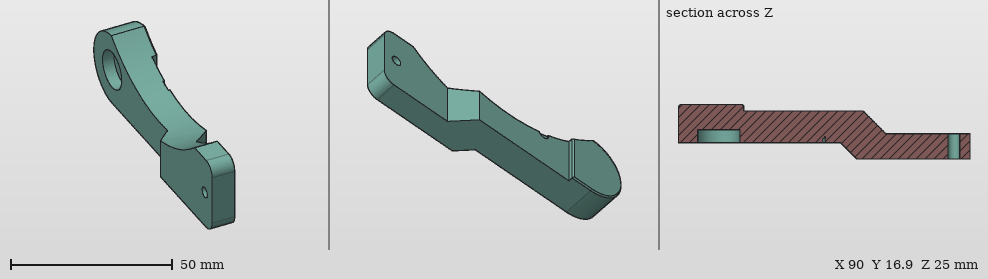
import cadquery as cq
import math

length = 90.0
height = 25.0
mid_height = height / 2

end_radius = height / 2
corner_radius = 4.0
scallop_radius = 50.0
scallop_center_x = length / 2
scallop_center_z = mid_height + scallop_radius

offset_step = 5.0
front_bend_end_x = 55.0
thin_back_y = 7.87
thick_back_y = 14.87
back_bend_start_x = 57.0

pad_height = 2.0
pad_width = 20.2
pad_chamfer = 0.5

socket_diameter = 13.0
socket_depth = 4.0
pin_hole_diameter = 3.5
pin_hole_x = 85.0

notch_x = 30.5
notch_radius = 1.9
notch_depth = 0.5

pad_back_y = thick_back_y + pad_height


def along_y(start_y):
    """Workplane in X and Z whose extrusions run toward +Y from start_y."""
    return cq.Workplane("XZ", origin=(0, start_y, 0))


def cylinder_along_y(x, z, radius, start_y, end_y):
    return along_y(start_y).center(x, z).circle(radius).extrude(start_y - end_y)


def make_outline(start_y, end_y):
    """Lever outline: round left end, filleted right corners, no scallop yet."""
    bar = (
        along_y(start_y)
        .moveTo(end_radius, 0)
        .lineTo(length, 0)
        .lineTo(length, height)
        .lineTo(end_radius, height)
        .threePointArc((0, mid_height), (end_radius, 0))
        .close()
        .extrude(start_y - end_y)
    )
    return bar.edges("|Y and >X").fillet(corner_radius)


def make_scallop():
    return cylinder_along_y(scallop_center_x, scallop_center_z, scallop_radius, 0, pad_back_y)


def make_jogged_slab():
    """Plate that steps toward -Y through 45 degree bends, full height in Z."""
    back_bend_end_x = back_bend_start_x + thick_back_y - thin_back_y
    return (
        cq.Workplane("XY")
        .moveTo(0, offset_step)
        .lineTo(front_bend_end_x - offset_step, offset_step)
        .lineTo(front_bend_end_x, 0)
        .lineTo(length, 0)
        .lineTo(length, thin_back_y)
        .lineTo(back_bend_end_x, thin_back_y)
        .lineTo(back_bend_start_x, thick_back_y)
        .lineTo(0, thick_back_y)
        .close()
        .extrude(height)
    )


def make_pad(profile):
    """Raised end of the lever, chamfered all round its back face."""
    pad_block = cq.Workplane("XY").box(pad_width, pad_height, height, centered=False)
    pad = profile.intersect(pad_block.translate((0, thick_back_y, 0)))
    return pad.faces(">Y").edges().chamfer(pad_chamfer)


lever_profile = make_outline(0, pad_back_y).cut(make_scallop())
lever = lever_profile.intersect(make_jogged_slab()).union(make_pad(lever_profile))

socket = cylinder_along_y(
    end_radius, mid_height, socket_diameter / 2, offset_step, offset_step + socket_depth
)
pin_hole = cylinder_along_y(pin_hole_x, mid_height, pin_hole_diameter / 2, 0, thin_back_y)

notch_z = scallop_center_z - math.sqrt(scallop_radius**2 - (scallop_center_x - notch_x) ** 2)
notch = cylinder_along_y(notch_x, notch_z, notch_radius, thick_back_y - notch_depth, thick_back_y)

result = lever.cut(socket).cut(pin_hole).cut(notch)